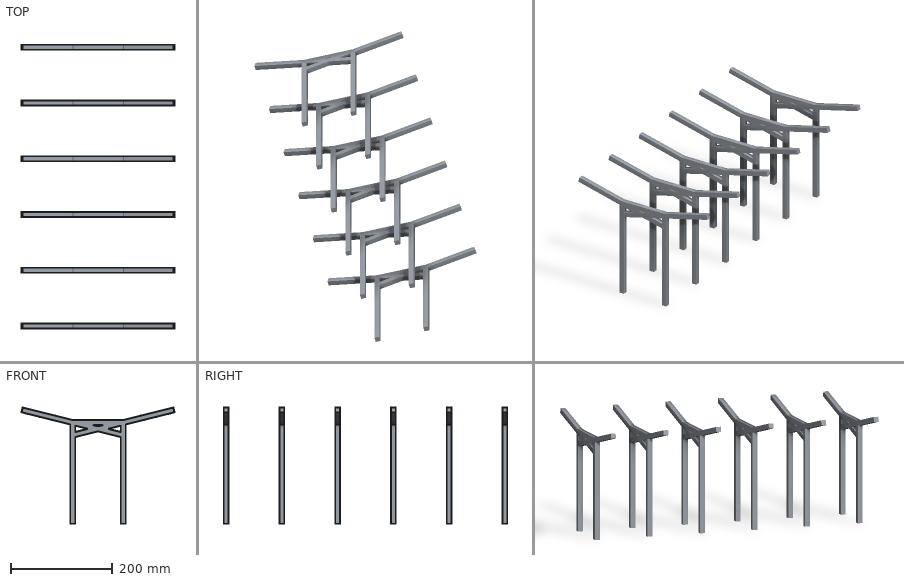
import cadquery as cq
import math

row_length = 560.0
frame_width = 302.5
frame_height = 229.5
frame_count = 6

bar = 10.0

leg_spacing = 99.5
bend_spacing = 99.0
arm_angle = 14.0

frame_pitch = (row_length - bar) / (frame_count - 1)
slope = math.radians(arm_angle)
arm_tip_x = frame_width / 2 - bar * math.sin(slope)
arm_rise = (arm_tip_x - bend_spacing / 2) * math.tan(slope)
beam_top = frame_height - arm_rise
arm_length = (arm_tip_x + leg_spacing / 2) / math.cos(slope)


def upright_bar(width, height, center_x, bottom_z):
    """Rectangular member, one bar deep, centred on Y = 0."""
    return (
        cq.Workplane("XY")
        .box(width, bar, height, centered=(True, True, False))
        .translate((center_x, 0, bottom_z))
    )


def make_right_arm():
    """Sloping arm whose inner half runs on below the crossbeam as a brace to the left leg."""
    return (
        cq.Workplane("XY")
        .box(arm_length, bar, bar)
        .translate((-arm_length / 2, 0, -bar / 2))
        .rotate((0, 0, 0), (0, 1, 0), -arm_angle)
        .translate((arm_tip_x, 0, frame_height))
    )


def make_frame():
    """One frame: crossbeam, two legs and two arms that cross under the beam."""
    frame = upright_bar(leg_spacing, bar, 0, beam_top - bar)
    leg_height = beam_top - bar / 2
    for side in (-1, 1):
        frame = frame.union(upright_bar(bar, leg_height, side * leg_spacing / 2, 0))
    right_arm = make_right_arm()
    return frame.union(right_arm).union(right_arm.mirror("YZ"))


frame = make_frame()
frames = []
for index in range(frame_count):
    frame_y = (index - (frame_count - 1) / 2) * frame_pitch
    frames.append(frame.translate((0, frame_y, 0)).val())

result = cq.Compound.makeCompound(frames)